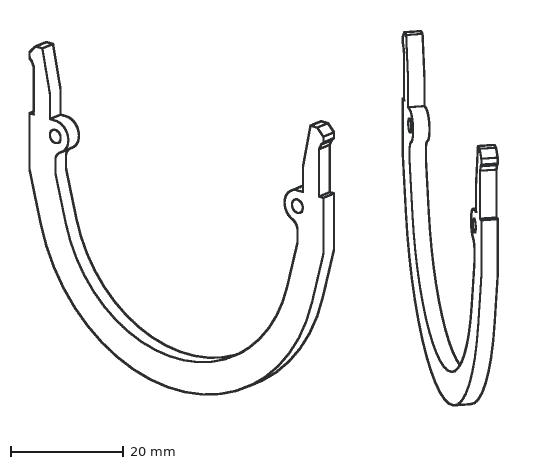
import cadquery as cq
import math

thickness = 3.0
outer_radius = 32.5
bow_width = 6.0
taper_angle = math.radians(15)

half_width = 34.0
shoulder_z = 12.0
top_z = 25.0

boss_x = 28.0
boss_radius = 3.0
boss_fillet = 2.0
hole_diameter = 2.5

prong_outer_x = 33.0
prong_inner_x = 29.25
prong_tip_inner_x = 31.0
prong_bend_z = 16.75
hook_chamfer = 1.4
hook_nose_z = 22.5
hook_run_out = 1.0

inner_radius = outer_radius - bow_width
hook_mid_x = (half_width + prong_outer_x) / 2
hook_mid_z = hook_nose_z - (half_width - hook_mid_x)
boss_z = shoulder_z - boss_radius


def on_circle(radius, angle, center=(0.0, 0.0)):
    """Point at an angle above the +X direction on a circle in the XZ plane."""
    return (center[0] + radius * math.cos(angle), center[1] + radius * math.sin(angle))


def leg_corner_z(radius, face_x):
    """Height where the line tangent to the bow meets a vertical face."""
    tangent_x, tangent_z = on_circle(radius, -taper_angle)
    return tangent_z + (face_x - tangent_x) / math.tan(taper_angle)


def half_profile():
    """Closed outline of the +X half, from the bottom of the bow round to the bottom again."""
    mid_angle = -(math.pi / 2 + taper_angle) / 2

    center_distance = boss_radius + boss_fillet
    fillet_drop = math.sqrt(center_distance**2 - boss_fillet**2)
    fillet_center = (boss_x - boss_fillet, boss_z - fillet_drop)
    contact_rise = math.atan2(fillet_drop, boss_fillet)
    boss_center = (boss_x, boss_z)
    boss_contact = on_circle(boss_radius, math.pi + contact_rise, boss_center)

    return (
        cq.Workplane("XZ", origin=(0, thickness / 2, 0))
        .moveTo(0, -outer_radius)
        .threePointArc(on_circle(outer_radius, mid_angle), on_circle(outer_radius, -taper_angle))
        .lineTo(half_width, leg_corner_z(outer_radius, half_width))
        .lineTo(half_width, shoulder_z)
        .lineTo(prong_outer_x, shoulder_z)
        .lineTo(prong_outer_x, hook_mid_z - hook_run_out)
        .lineTo(hook_mid_x, hook_mid_z)
        .lineTo(half_width, hook_nose_z)
        .lineTo(half_width, top_z - hook_chamfer)
        .lineTo(half_width - hook_chamfer, top_z)
        .lineTo(prong_tip_inner_x, top_z)
        .lineTo(prong_inner_x, prong_bend_z)
        .lineTo(prong_inner_x, shoulder_z)
        .lineTo(boss_x, shoulder_z)
        .threePointArc((boss_x - boss_radius, boss_z), boss_contact)
        .threePointArc(
            on_circle(boss_fillet, contact_rise / 2, fillet_center),
            (boss_x, fillet_center[1]),
        )
        .lineTo(boss_x, leg_corner_z(inner_radius, boss_x))
        .lineTo(*on_circle(inner_radius, -taper_angle))
        .threePointArc(on_circle(inner_radius, mid_angle), (0, -inner_radius))
        .close()
    )


def drill_pivot_hole(half):
    """Cut the through hole in the boss."""
    drill = (
        cq.Workplane("XZ", origin=(0, thickness / 2, 0))
        .center(boss_x, boss_z)
        .circle(hole_diameter / 2)
        .extrude(thickness)
    )
    return half.cut(drill)


right_half = drill_pivot_hole(half_profile().extrude(thickness))
result = right_half.union(right_half.mirror("YZ"))